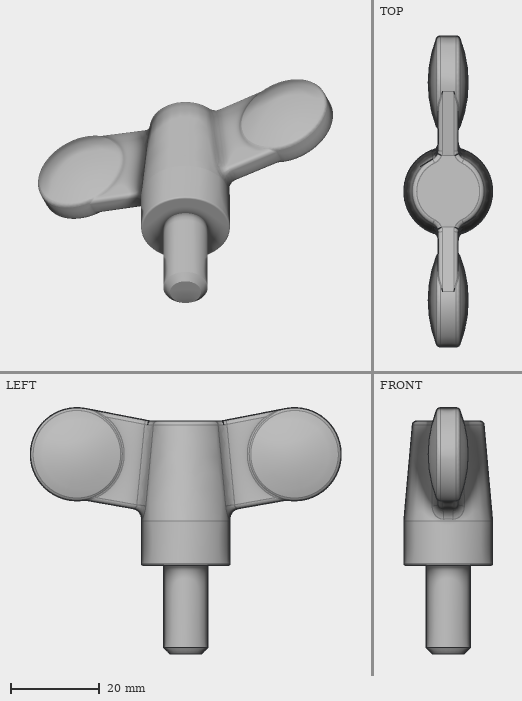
import math

import cadquery as cq

STUD_DIAMETER = 10.0
STUD_LENGTH = 20.0
STUD_CHAMFER = 1.5

COLLAR_RADIUS = 10.0
COLLAR_HEIGHT = 10.0
HUB_HEIGHT = 32.5
HUB_TOP_RADIUS = 8.0
COLLAR_EDGE_FILLET = 0.4

PAD_RADIUS = 10.5
PAD_OFFSET = 24.5
PAD_HEIGHT = 25.0
PAD_HALF_THICKNESS = 4.5
PAD_DOME_RADIUS = 27.5
PAD_RIM_FILLET = 1.0

WING_THICKNESS = 4.5
WING_TOP_ANGLE = 11.0
WING_BOTTOM_ANGLE = 10.0

OUTER_EDGE_FILLET = 1.0
WING_ROOT_FILLET = 2.2
PAD_BLEND_FILLET = 0.6

BLANK_HEIGHT = 40.0

TOLERANCE = 0.01


def mirrored_pair(half):
    return half.union(half.mirror("XZ"))


def wing_tangent_points():
    """(y, z) points where the upper and lower wing edges touch the pad rim."""
    top = math.radians(WING_TOP_ANGLE)
    bottom = math.radians(WING_BOTTOM_ANGLE)
    upper = (PAD_OFFSET - PAD_RADIUS * math.sin(top), PAD_HEIGHT + PAD_RADIUS * math.cos(top))
    lower = (PAD_OFFSET - PAD_RADIUS * math.sin(bottom), PAD_HEIGHT - PAD_RADIUS * math.cos(bottom))
    return upper, lower


def make_stud():
    stud = cq.Workplane("XY").circle(STUD_DIAMETER / 2).extrude(-STUD_LENGTH)
    return stud.faces("<Z").chamfer(STUD_CHAMFER)


def make_hub():
    """Collar and taper, continued up to the blank height before trimming."""
    taper = (COLLAR_RADIUS - HUB_TOP_RADIUS) / (HUB_HEIGHT - COLLAR_HEIGHT)
    blank_radius = COLLAR_RADIUS - taper * (BLANK_HEIGHT - COLLAR_HEIGHT)
    profile = (
        cq.Workplane("XZ")
        .lineTo(COLLAR_RADIUS, 0)
        .lineTo(COLLAR_RADIUS, COLLAR_HEIGHT)
        .lineTo(blank_radius, BLANK_HEIGHT)
        .lineTo(0, BLANK_HEIGHT)
        .close()
    )
    hub = profile.revolve(360, (0, 0), (0, 1))
    return hub.faces("<Z").edges().fillet(COLLAR_EDGE_FILLET)


def make_wing():
    """Web on the +Y side with a sloping lower edge, up to the blank height."""
    (upper_y, upper_z), (lower_y, lower_z) = wing_tangent_points()
    axis_z = lower_z - lower_y * math.tan(math.radians(WING_BOTTOM_ANGLE))
    outline = [
        (0, axis_z),
        (lower_y, lower_z),
        (upper_y, upper_z),
        (upper_y, BLANK_HEIGHT),
        (0, BLANK_HEIGHT),
    ]
    return cq.Workplane("YZ").polyline(outline).close().extrude(WING_THICKNESS / 2, both=True)


def make_top_trim():
    """Waste above the +Y half: level over the hub, then rising along the wing."""
    (upper_y, upper_z), _ = wing_tangent_points()
    slope = math.tan(math.radians(WING_TOP_ANGLE))
    level_end = upper_y - (upper_z - HUB_HEIGHT) / slope
    outline = [
        (0, HUB_HEIGHT),
        (level_end, HUB_HEIGHT),
        (PAD_OFFSET, upper_z + (PAD_OFFSET - upper_y) * slope),
        (PAD_OFFSET, BLANK_HEIGHT),
        (0, BLANK_HEIGHT),
    ]
    return cq.Workplane("YZ").polyline(outline).close().extrude(COLLAR_RADIUS, both=True)


def is_lower_wing_edge(edge):
    box = edge.BoundingBox()
    on_wing_side = abs(abs(edge.Center().x) - WING_THICKNESS / 2) < TOLERANCE
    return edge.geomType() == "LINE" and on_wing_side and box.zmax < PAD_HEIGHT - TOLERANCE


def is_wing_root_edge(edge):
    """Curves in which the wing meets the tapered hub."""
    is_curve = edge.geomType() in ("HYPERBOLA", "ELLIPSE", "BSPLINE")
    return is_curve and abs(edge.Center().y) < COLLAR_RADIUS


def is_crown_edge(edge):
    """Rim of the hub top and the upper long edges of the wings."""
    box = edge.BoundingBox()
    in_top_surface = box.zmin > HUB_HEIGHT - TOLERANCE
    crosses_wing = edge.geomType() == "LINE" and box.ylen < TOLERANCE
    return in_top_surface and not crosses_wing


def fillet_where(shape, test, radius):
    solid = shape.solids().val()
    chosen = [edge for edge in shape.edges().vals() if test(edge)]
    return cq.Workplane(solid.fillet(radius, chosen))


def make_body():
    """Hub and both wings with their rounded edges."""
    body = make_hub().union(mirrored_pair(make_wing())).clean()
    body = fillet_where(body, is_lower_wing_edge, OUTER_EDGE_FILLET)
    body = fillet_where(body, is_wing_root_edge, WING_ROOT_FILLET)
    body = body.cut(mirrored_pair(make_top_trim())).clean()
    return fillet_where(body, is_crown_edge, OUTER_EDGE_FILLET)


def dome_height(radius):
    """Half thickness of a pad at a radius from its axis."""
    drop = PAD_DOME_RADIUS - math.sqrt(PAD_DOME_RADIUS**2 - radius**2)
    return PAD_HALF_THICKNESS - drop


def make_pad():
    """Disc on the +Y side, domed on both faces, with a rounded rim."""
    half_radius = PAD_RADIUS / 2
    middle = dome_height(half_radius)
    rim = dome_height(PAD_RADIUS)
    profile = (
        cq.Workplane("XY")
        .moveTo(-PAD_HALF_THICKNESS, 0)
        .threePointArc((-middle, half_radius), (-rim, PAD_RADIUS))
        .lineTo(rim, PAD_RADIUS)
        .threePointArc((middle, half_radius), (PAD_HALF_THICKNESS, 0))
        .close()
    )
    pad = profile.revolve(360, (0, 0), (1, 0))
    pad = pad.faces("%CYLINDER").edges("%CIRCLE").fillet(PAD_RIM_FILLET)
    return pad.translate((0, PAD_OFFSET, PAD_HEIGHT))


def is_pad_crease(edge):
    """Arcs in which a pad rim rises out of the flat side of a wing."""
    center = edge.Center()
    on_wing_side = abs(abs(center.x) - WING_THICKNESS / 2) < TOLERANCE
    between_hub_and_pad = COLLAR_RADIUS < abs(center.y) < PAD_OFFSET
    return edge.geomType() == "BSPLINE" and on_wing_side and between_hub_and_pad


handle = make_body().union(make_stud()).union(mirrored_pair(make_pad()))
result = fillet_where(handle, is_pad_crease, PAD_BLEND_FILLET)